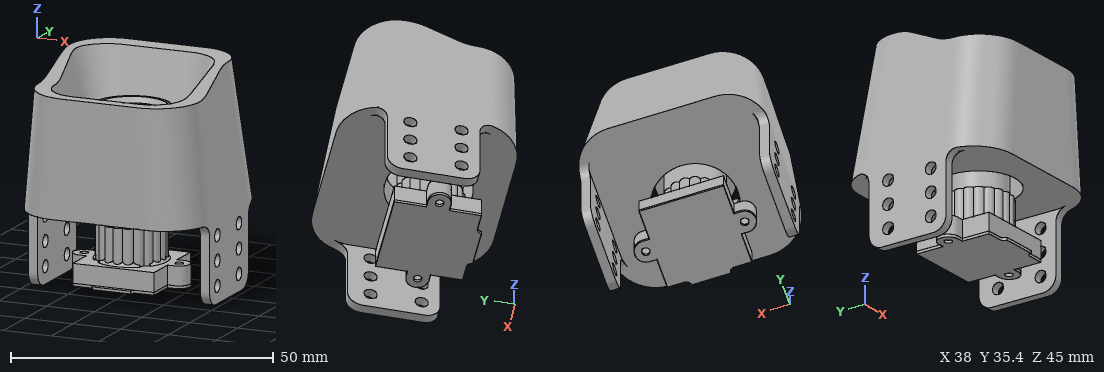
import cadquery as cq
import math

BIG = 90.0
QUARTER_ARC_INSET = 1 - math.sqrt(0.5)

base_width = 38.0
top_width = 33.05
front_y = -14.95
base_back_y = 20.4
top_back_y = 16.35
front_corner_radius = 9.0
back_corner_radius = 8.25
base_z = 16.5
top_z = 45.0

low_rim_z = 40.5
rim_slope = math.radians(25)
rim_bend_radius = 9.0

pocket_depth = 10.1
pocket_floor_z = top_z - pocket_depth
pocket_floor_width = 24.05
pocket_floor_front_y = -10.95
pocket_floor_back_y = 9.15
pocket_corner_radius = 5.05
pocket_draft = 15.0
funnel_bottom_radius = 8.5
funnel_bottom_z = 22.95

leg_thickness = 2.0
leg_corner_radius = 3.0
leg_flare_radius = 2.5
leg_front_y = front_y + front_corner_radius
leg_back_y = base_back_y - back_corner_radius
leg_hole_diameter = 2.5
leg_hole_rows_y = (-2.35, 7.65)
leg_hole_first_z = 3.55
leg_hole_pitch = 5.0
leg_holes_per_row = 3

board_bottom_z = 2.02
board_thickness = 0.6
block_bottom_z = board_bottom_z + board_thickness
block_top_z = 6.52
block_side = 17.0
ear_radius = 2.25
ear_x = 9.95
ear_hole_diameter = 1.6
collar_top_z = 13.95
lobe_count = 20
lobe_radius = 1.2
lobe_circle_radius = 5.8
skirt_radius = 7.4
skirt_height = 1.1
skirt_gap_width = 2.05
tab_width = 8.0
tab_length = 1.0
tab_root_radius = 0.95

barrel_radius = 6.0
head_radius = 7.95
head_chamfer = 0.25
head_top_z = 36.5
head_height = 9.0
bezel_radius = 7.0
bezel_depth = 1.0
glass_recess = 0.6
dome_height = 1.8


def rounded_corner_points(half_width, y_front, y_back, r_front, r_back):
    """End points and arc midpoints of a rounded rectangle, counter-clockwise from the front edge."""
    corners = (
        (half_width - r_front, y_front + r_front, r_front, -90),
        (half_width - r_back, y_back - r_back, r_back, 0),
        (r_back - half_width, y_back - r_back, r_back, 90),
        (r_front - half_width, y_front + r_front, r_front, 180),
    )
    arcs = []
    for cx, cy, radius, start in corners:
        angles = (math.radians(start + turn) for turn in (0, 45, 90))
        arcs.append([(cx + radius * math.cos(a), cy + radius * math.sin(a)) for a in angles])
    return arcs


def rounded_outline(z, half_width, y_front, y_back, r_front, r_back):
    """Closed rounded-rectangle outline at height z, ready to extrude."""
    arcs = rounded_corner_points(half_width, y_front, y_back, r_front, r_back)
    sketch = cq.Workplane("XY", origin=(0, 0, z)).moveTo(*arcs[0][0])
    for start, middle, end in arcs:
        if start != arcs[0][0]:
            sketch = sketch.lineTo(*start)
        sketch = sketch.threePointArc(middle, end)
    return sketch.close()


def ruled_solid(lower, upper):
    """Solid with straight-ruled sides between two outlines that have the same number of edges."""
    wires = [lower.val(), upper.val()]
    return cq.Workplane(cq.Solid.makeLoft(wires, True))


def base_outline(z):
    return rounded_outline(
        z, base_width / 2, front_y, base_back_y, front_corner_radius, back_corner_radius
    )


def tapered_body():
    top = rounded_outline(
        top_z, top_width / 2, front_y, top_back_y, front_corner_radius, back_corner_radius
    )
    return ruled_solid(base_outline(base_z), top)


def rim_cut():
    """Everything above the S-shaped rim."""
    bend_y = rim_bend_radius * math.sin(rim_slope)
    bend_z = rim_bend_radius * (1 - math.cos(rim_slope))
    half_bend_y = rim_bend_radius * math.sin(rim_slope / 2)
    half_bend_z = rim_bend_radius * (1 - math.cos(rim_slope / 2))
    ramp_drop = top_z - low_rim_z - 2 * bend_z
    y0 = front_y + front_corner_radius
    y1 = y0 + bend_y
    y2 = y1 + ramp_drop / math.tan(rim_slope)
    y3 = y2 + bend_y
    return (
        cq.Workplane("YZ", origin=(-BIG / 2, 0, 0))
        .moveTo(-BIG, low_rim_z)
        .lineTo(y0, low_rim_z)
        .threePointArc((y0 + half_bend_y, low_rim_z + half_bend_z), (y1, low_rim_z + bend_z))
        .lineTo(y2, top_z - bend_z)
        .threePointArc((y3 - half_bend_y, top_z - half_bend_z), (y3, top_z))
        .lineTo(y3, BIG)
        .lineTo(-BIG, BIG)
        .close()
        .extrude(BIG)
    )


def pocket_floor_outline():
    return rounded_outline(
        pocket_floor_z, pocket_floor_width / 2, pocket_floor_front_y, pocket_floor_back_y,
        pocket_corner_radius, pocket_corner_radius,
    )


def pocket_cut():
    """Upper pocket, widening upward from its floor outline."""
    return pocket_floor_outline().extrude(pocket_depth, taper=-pocket_draft)


def funnel_cut():
    """Opening that narrows from the pocket floor to a round hole, which continues through the underside.

    The ends of the corner arcs run straight in toward the lens axis.
    """
    arcs = rounded_corner_points(
        pocket_floor_width / 2, pocket_floor_front_y, pocket_floor_back_y,
        pocket_corner_radius, pocket_corner_radius,
    )
    angles = [math.atan2(y, x) for start, _, end in arcs for x, y in (start, end)]

    def on_circle(angle):
        return (funnel_bottom_radius * math.cos(angle), funnel_bottom_radius * math.sin(angle))

    circle = cq.Workplane("XY", origin=(0, 0, funnel_bottom_z)).moveTo(*on_circle(angles[0]))
    for this_angle, next_angle in zip(angles, angles[1:] + angles[:1]):
        sweep = (next_angle - this_angle) % math.tau
        circle = circle.threePointArc(on_circle(this_angle + sweep / 2), on_circle(next_angle))
    funnel = ruled_solid(circle.wire(), pocket_floor_outline())
    hole = (
        cq.Workplane("XY", origin=(0, 0, base_z))
        .circle(funnel_bottom_radius)
        .extrude(funnel_bottom_z - base_z)
    )
    return funnel.union(hole)


def leg_side_profile():
    """Side shape of a leg, flared where it meets the housing, spanning both legs in X."""
    flare = leg_flare_radius
    corner = leg_corner_radius
    flare_inset = flare * QUARTER_ARC_INSET
    corner_inset = corner * QUARTER_ARC_INSET
    return (
        cq.Workplane("YZ", origin=(-BIG / 2, 0, 0))
        .moveTo(leg_front_y - flare, base_z)
        .threePointArc(
            (leg_front_y - flare_inset, base_z - flare_inset), (leg_front_y, base_z - flare)
        )
        .lineTo(leg_front_y, corner)
        .threePointArc((leg_front_y + corner_inset, corner_inset), (leg_front_y + corner, 0))
        .lineTo(leg_back_y - corner, 0)
        .threePointArc((leg_back_y - corner_inset, corner_inset), (leg_back_y, corner))
        .lineTo(leg_back_y, base_z - flare)
        .threePointArc(
            (leg_back_y + flare_inset, base_z - flare_inset), (leg_back_y + flare, base_z)
        )
        .close()
        .extrude(BIG)
    )


def legs():
    """Both legs: walls that follow the base outline, trimmed to the side profile and drilled."""
    inner = rounded_outline(
        0, base_width / 2 - leg_thickness, front_y + leg_thickness, base_back_y - leg_thickness,
        front_corner_radius - leg_thickness, back_corner_radius - leg_thickness,
    )
    wall = base_outline(0).extrude(base_z).cut(inner.extrude(base_z))
    hole_points = [
        (y, leg_hole_first_z + row * leg_hole_pitch)
        for y in leg_hole_rows_y
        for row in range(leg_holes_per_row)
    ]
    holes = (
        cq.Workplane("YZ", origin=(-BIG / 2, 0, 0))
        .pushPoints(hole_points)
        .circle(leg_hole_diameter / 2)
        .extrude(BIG)
    )
    return wall.intersect(leg_side_profile()).cut(holes)


def make_housing():
    return tapered_body().cut(rim_cut()).cut(pocket_cut()).cut(funnel_cut()).union(legs())


def eared_block(bottom_z, height):
    """Square block with a drilled, round-ended ear on each side."""
    block = cq.Workplane("XY", origin=(0, 0, bottom_z)).rect(block_side, block_side).extrude(height)
    ears = (
        cq.Workplane("XY", origin=(0, 0, bottom_z))
        .slot2D(2 * (ear_x + ear_radius), 2 * ear_radius)
        .extrude(height)
    )
    ear_holes = (
        cq.Workplane("XY", origin=(0, 0, bottom_z))
        .pushPoints([(-ear_x, 0), (ear_x, 0)])
        .circle(ear_hole_diameter / 2)
        .extrude(height)
    )
    return block.union(ears).cut(ear_holes)


def collar():
    """Collar around the barrel with a ring of rounded lobes."""
    half_pitch = math.pi / lobe_count
    half_chord = lobe_circle_radius * math.sin(half_pitch)
    valley_radius = lobe_circle_radius * math.cos(half_pitch) + math.sqrt(lobe_radius**2 - half_chord**2)
    crest_radius = lobe_circle_radius + lobe_radius

    def polar(radius, angle):
        return (radius * math.cos(angle), radius * math.sin(angle))

    sketch = cq.Workplane("XY", origin=(0, 0, block_top_z)).moveTo(*polar(valley_radius, -half_pitch))
    for lobe in range(lobe_count):
        angle = 2 * half_pitch * lobe
        sketch = sketch.threePointArc(
            polar(crest_radius, angle), polar(valley_radius, angle + half_pitch)
        )
    return sketch.close().extrude(collar_top_z - block_top_z)


def skirt():
    """45-degree skirt at the foot of the collar, interrupted on both diagonals."""
    cone = cq.Workplane(
        cq.Solid.makeCone(
            skirt_radius, skirt_radius - skirt_height, skirt_height, cq.Vector(0, 0, block_top_z)
        )
    )
    for diagonal in (45, 135):
        gap = (
            cq.Workplane("XY", origin=(0, 0, block_top_z))
            .transformed(rotate=(0, 0, diagonal))
            .rect(BIG, skirt_gap_width)
            .extrude(skirt_height)
        )
        cone = cone.cut(gap)
    return cone


def make_holder():
    bore = (
        cq.Workplane("XY", origin=(0, 0, block_bottom_z))
        .circle(barrel_radius)
        .extrude(collar_top_z - block_bottom_z)
    )
    block = eared_block(block_bottom_z, block_top_z - block_bottom_z)
    return block.union(collar()).union(skirt()).cut(bore)


def make_board():
    """Board with the outline of the holder block and a connector tab at the front."""
    edge_y = -block_side / 2
    half_tab = tab_width / 2
    inset = tab_root_radius * QUARTER_ARC_INSET
    tab = (
        cq.Workplane("XY", origin=(0, 0, board_bottom_z))
        .moveTo(half_tab + tab_root_radius, edge_y)
        .threePointArc((half_tab + inset, edge_y - inset), (half_tab, edge_y - tab_root_radius))
        .lineTo(half_tab, edge_y - tab_length)
        .lineTo(-half_tab, edge_y - tab_length)
        .lineTo(-half_tab, edge_y - tab_root_radius)
        .threePointArc((-half_tab - inset, edge_y - inset), (-half_tab - tab_root_radius, edge_y))
        .lineTo(-half_tab, 0)
        .lineTo(half_tab, 0)
        .close()
        .extrude(board_thickness)
    )
    return eared_block(board_bottom_z, board_thickness).union(tab)


def make_lens():
    """Turned lens: slim barrel, wide head, conical bezel and a domed glass."""
    glass_edge_z = head_top_z - bezel_depth - glass_recess
    dome_radius = (barrel_radius**2 + dome_height**2) / (2 * dome_height)
    dome_center_z = glass_edge_z + dome_height - dome_radius
    dome_mid_r = barrel_radius / 2
    dome_mid_z = dome_center_z + math.sqrt(dome_radius**2 - dome_mid_r**2)
    return (
        cq.Workplane("XZ")
        .moveTo(0, block_top_z)
        .lineTo(barrel_radius, block_top_z)
        .lineTo(barrel_radius, head_top_z - head_height)
        .lineTo(head_radius, head_top_z - head_height)
        .lineTo(head_radius, head_top_z - head_chamfer)
        .lineTo(head_radius - head_chamfer, head_top_z)
        .lineTo(bezel_radius, head_top_z)
        .lineTo(barrel_radius, head_top_z - bezel_depth)
        .lineTo(barrel_radius, glass_edge_z)
        .threePointArc((dome_mid_r, dome_mid_z), (0, glass_edge_z + dome_height))
        .close()
        .revolve(360, (0, 0, 0), (0, 1, 0))
    )


housing = make_housing()
lens = make_lens()
holder = make_holder()
board = make_board()

result = cq.Compound.makeCompound([housing.val(), lens.val(), holder.val(), board.val()])